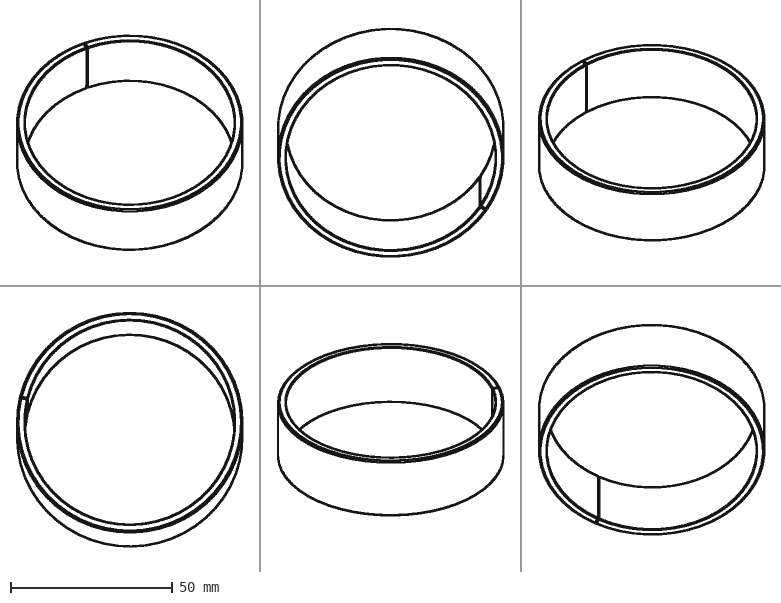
import cadquery as cq

outer_diameter = 70.0
bore_diameter = 65.0
height = 20.0
outer_chamfer = 0.5
bore_chamfer = 0.2
slit_width = 0.5
slit_center_y = slit_width / 2

outer_radius = outer_diameter / 2
bore_radius = bore_diameter / 2
half_height = height / 2


def ring():
    """Revolve the chamfered wall section about Z, centred on the origin."""
    upper_half = [
        (outer_radius, half_height - outer_chamfer),
        (outer_radius - outer_chamfer, half_height),
        (bore_radius + bore_chamfer, half_height),
        (bore_radius, half_height - bore_chamfer),
    ]
    lower_half = [(radius, -z) for radius, z in reversed(upper_half)]
    section = cq.Workplane("XZ").polyline(upper_half + lower_half).close()
    return section.revolve(360, (0, 0, 0), (0, 1, 0))


def slit():
    """Full-height cutter through the wall on the -X side only."""
    cutter = cq.Workplane("XY").box(outer_radius, slit_width, height)
    return cutter.translate((-outer_radius, slit_center_y, 0))


result = ring().cut(slit())